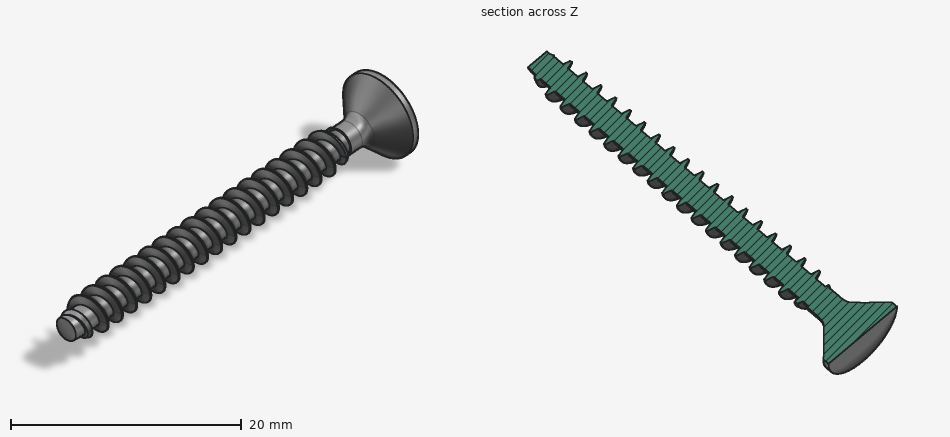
import cadquery as cq
import math

LENGTH = 40.0
ORIGIN = (0, 0, 0)

HEAD_RADIUS = 4.2
RIM_THICKNESS = 0.65
CONE_END = 3.05
CONE_END_RADIUS = 1.75
NECK_RADIUS = 1.4
NECK_START = 4.15
NECK_END = 5.5

CORE_RADIUS = 1.24
TIP_RADIUS = 1.15
TIP_TAPER_LENGTH = 1.0
TIP_TAPER_START = LENGTH - TIP_TAPER_LENGTH

THREAD_RADIUS = 2.03
PITCH = 1.79
ROOT_WIDTH = 0.62
CREST_WIDTH = 0.18
ROOT_EMBED = 0.2
FIRST_TURN_START = 4.645
TURN_COUNT = 20

FADE_IN_START = NECK_END
FADE_IN_RADIUS = 1.5
FADE_IN_END = 7.3
FADE_OUT_START = 37.5
FADE_OUT_END = LENGTH - 0.3
FADED_TURNS = 2
SLEEVE_MARGIN = 0.3


def make_body():
    """Head, neck and core turned about the Y axis, with the seam on the -Z side."""
    cone_direction = (CONE_END_RADIUS - HEAD_RADIUS, RIM_THICKNESS - CONE_END)
    neck_direction = (0, -1)
    return (
        cq.Workplane("XY")
        .lineTo(HEAD_RADIUS, 0)
        .lineTo(HEAD_RADIUS, -RIM_THICKNESS)
        .lineTo(CONE_END_RADIUS, -CONE_END)
        .spline(
            [(NECK_RADIUS, -NECK_START)],
            tangents=[cone_direction, neck_direction],
            includeCurrent=True,
        )
        .lineTo(NECK_RADIUS, -NECK_END)
        .lineTo(CORE_RADIUS, -NECK_END)
        .lineTo(CORE_RADIUS, -TIP_TAPER_START)
        .lineTo(TIP_RADIUS, -LENGTH)
        .lineTo(0, -LENGTH)
        .close()
        .revolve(360, ORIGIN, (0, 1, 0))
        .rotate(ORIGIN, (0, 1, 0), 90)
    )


def make_turn():
    """First full-height turn of the helical ridge, swept along +Z and then laid along -Y."""
    root_radius = CORE_RADIUS - ROOT_EMBED
    flank_slope = (ROOT_WIDTH - CREST_WIDTH) / 2 / (THREAD_RADIUS - CORE_RADIUS)
    root_half = ROOT_WIDTH / 2 + ROOT_EMBED * flank_slope
    crest_half = CREST_WIDTH / 2
    helix = cq.Wire.makeHelix(PITCH, PITCH, root_radius)
    turn = (
        cq.Workplane("XZ")
        .moveTo(root_radius, -root_half)
        .lineTo(THREAD_RADIUS, -crest_half)
        .lineTo(THREAD_RADIUS, crest_half)
        .lineTo(root_radius, root_half)
        .close()
        .sweep(cq.Workplane(obj=helix), isFrenet=True)
    )
    return turn.rotate(ORIGIN, (1, 0, 0), 90).translate((0, -FIRST_TURN_START, 0))


def make_fade_sleeve(low_end, low_radius, full_end):
    """Cutter that tapers the ridge from full height at full_end to low_radius at low_end.

    Beyond low_end the cutter is a solid disc that removes the rest of the ridge.
    """
    direction = math.copysign(1, low_end - full_end)
    taper = (THREAD_RADIUS - low_radius) / abs(low_end - full_end)
    bore_end = full_end - direction * SLEEVE_MARGIN
    bore_end_radius = THREAD_RADIUS + taper * SLEEVE_MARGIN
    disc_end = low_end + direction * PITCH
    sleeve_radius = bore_end_radius + SLEEVE_MARGIN
    return (
        cq.Workplane("YZ")
        .moveTo(-bore_end, bore_end_radius)
        .lineTo(-low_end, low_radius)
        .lineTo(-low_end, 0)
        .lineTo(-disc_end, 0)
        .lineTo(-disc_end, sleeve_radius)
        .lineTo(-bore_end, sleeve_radius)
        .close()
        .revolve(360, ORIGIN, (1, 0, 0))
    )


def make_thread():
    """List of all turns of the ridge, with the end turns trimmed by the run-out sleeves."""
    fade_in = make_fade_sleeve(FADE_IN_START, FADE_IN_RADIUS, FADE_IN_END)
    fade_out = make_fade_sleeve(FADE_OUT_END, TIP_RADIUS, FADE_OUT_START)
    first_turn = make_turn()
    turns = [first_turn.translate((0, -index * PITCH, 0)) for index in range(TURN_COUNT)]
    for index in range(FADED_TURNS):
        turns[index] = turns[index].cut(fade_in)
        turns[-1 - index] = turns[-1 - index].cut(fade_out)
    return turns


result = make_body()
for thread_turn in make_thread():
    result = result.union(thread_turn, clean=False)